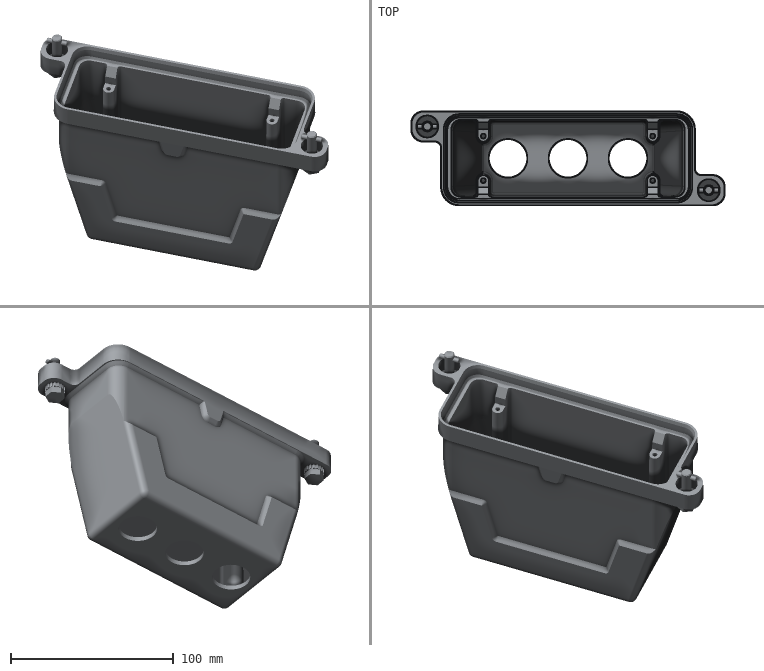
import cadquery as cq
import math

RIM_TOP = 111.5
RIM_THICKNESS = 12.5
RIM_BOTTOM = RIM_TOP - RIM_THICKNESS
PIN_TOP = 121.95

OVERALL_HALF_LENGTH = 96.5
HALF_WIDTH = 29.0
RIM_HALF_LENGTH = 78.2
RIM_CORNER_RADIUS = 11.4
EAR_WIDTH = 18.8
EAR_RADIUS = 7.6
EAR_ROOT_RADIUS = 3.8
RIM_DRAFT_ANGLE = 1.0

BODY_HALF_LENGTH = 75.0
BODY_HALF_WIDTH = 26.3
BODY_CORNER_RADIUS = 8.6
TAPER_START = 75.9
TAPER_ANGLE = 15.0
TAPER_SLOPE = math.tan(math.radians(TAPER_ANGLE))
BASE_HALF_LENGTH = BODY_HALF_LENGTH - TAPER_START * TAPER_SLOPE
NECK_HEIGHT = 2.2

BAND_RAISE = HALF_WIDTH - BODY_HALF_WIDTH
BAND_LEDGE = 50.0
BAND_WINDOW_TOP_HALF = 45.6
BAND_WINDOW_BOTTOM = 21.7
BAND_WINDOW_BOTTOM_HALF = BAND_WINDOW_TOP_HALF - (BAND_LEDGE - BAND_WINDOW_BOTTOM) * TAPER_SLOPE
BAND_WINDOW_RADIUS = 2.9
BAND_TOP = BAND_LEDGE + BAND_RAISE
BAND_EDGE_RADIUS = 4.0

LUG_TOP_HALF = 10.2
LUG_BOTTOM_HALF = 6.7
LUG_HEIGHT = 13.0
LUG_CORNER_RADIUS = 5.0

SEAT_PROFILE = [(1.7, 0.0), (2.5, 2.2), (2.9, 7.2), (4.0, 8.5)]
SEAT_LEDGE = RIM_TOP - SEAT_PROFILE[-1][1]

CAVITY_HALF_LENGTH = 71.9
CAVITY_HALF_WIDTH = 23.8
CAVITY_BEND_HALF_LENGTH = 70.1
CAVITY_FLOOR_HALF_LENGTH = 53.0
CAVITY_FLOOR_HALF_WIDTH = 22.4
CAVITY_BEND_Z = 69.8
CAVITY_CORNER_RADIUS = 6.3
CAVITY_BEND_RADIUS = 15.0
FLOOR_THICKNESS = 3.0
FLOOR_EDGE_RADIUS = 1.1

CABLE_HOLE_DIAMETER = 23.6
CABLE_HOLE_PITCH = 36.9
CABLE_HOLE_COUNT = 3

BOSS_X = 52.1
BOSS_Y = 13.7
BOSS_WIDTH = 6.6
BOSS_DRAFT_ANGLE = 0.65
BOSS_TOP = 92.0
BOSS_ROOT_RADIUS = 1.9
BOSS_HOLE_DIAMETER = 3.0
BOSS_HOLE_DEPTH = 10.0
GUSSET_FACE_Y = 17.8
GUSSET_TOP_Y = 22.2
GUSSET_SHOULDER = 97.8

BOLT_X = 86.6
BOLT_Y = HALF_WIDTH - EAR_WIDTH / 2
BOLT_WELL_DIAMETER = 13.6
BOLT_WELL_FLOOR = 2.5
BOLT_DIAMETER = 6.2
BOLT_TIP_CHAMFER = 0.6
CROSS_PIN_DIAMETER = 3.0
CROSS_PIN_LENGTH = 13.0
CROSS_PIN_CHAMFER = 0.4
CROSS_PIN_Z = 118.0
WASHER_DIAMETER = 12.6
WASHER_THICKNESS = 2.8
WASHER_TEETH = 18
WASHER_TOOTH_DEPTH = 0.6
HEX_ACROSS_FLATS = 10.3
HEX_HEIGHT = 4.2

BEVEL_ANGLE = 45.0
SELECT_MARGIN = 1.0
SEED_THICKNESS = 1.0


def rounded_box(half_length, half_width, radius, bottom, height, taper=0.0):
    """Upright block with rounded vertical corners."""
    outline = cq.Sketch().rect(2 * half_length, 2 * half_width).vertices().fillet(radius)
    return cq.Workplane("XY").workplane(offset=bottom).placeSketch(outline).extrude(height, taper=taper)


def make_rim():
    """Flange outline with one bolt ear at each of two opposite corners."""
    ear_inner_y = HALF_WIDTH - EAR_WIDTH
    rim = cq.Workplane("XY").workplane(offset=RIM_BOTTOM).polyline([
        (-OVERALL_HALF_LENGTH, HALF_WIDTH),
        (RIM_HALF_LENGTH, HALF_WIDTH),
        (RIM_HALF_LENGTH, -ear_inner_y),
        (OVERALL_HALF_LENGTH, -ear_inner_y),
        (OVERALL_HALF_LENGTH, -HALF_WIDTH),
        (-RIM_HALF_LENGTH, -HALF_WIDTH),
        (-RIM_HALF_LENGTH, ear_inner_y),
        (-OVERALL_HALF_LENGTH, ear_inner_y),
    ]).close().extrude(RIM_THICKNESS)
    for side in (-1, 1):
        corner = cq.selectors.BoxSelector(
            (side * RIM_HALF_LENGTH - SELECT_MARGIN, side * HALF_WIDTH - SELECT_MARGIN, 0),
            (side * RIM_HALF_LENGTH + SELECT_MARGIN, side * HALF_WIDTH + SELECT_MARGIN, PIN_TOP))
        root = cq.selectors.BoxSelector(
            (side * RIM_HALF_LENGTH - SELECT_MARGIN, -side * ear_inner_y - SELECT_MARGIN, 0),
            (side * RIM_HALF_LENGTH + SELECT_MARGIN, -side * ear_inner_y + SELECT_MARGIN, PIN_TOP))
        rim = rim.edges(corner).fillet(RIM_CORNER_RADIUS)
        rim = rim.edges(root).fillet(EAR_ROOT_RADIUS)
    rim = rim.edges("|Z and (<X or >X)").fillet(EAR_RADIUS)
    rounded_outline = rim.faces("<Z").wires().toPending().workplane(invert=True)
    return rounded_outline.extrude(RIM_THICKNESS, taper=RIM_DRAFT_ANGLE, combine=False)


def make_end_profile(base_half, shoulder_half, top_half, shoulder_z, bottom, top):
    """Lengthwise outline: steep upper sides and inward-sloping lower sides."""
    return cq.Workplane("XZ").polyline([
        (-base_half, bottom),
        (base_half, bottom),
        (shoulder_half, shoulder_z),
        (top_half, top),
        (-top_half, top),
        (-shoulder_half, shoulder_z),
    ]).close()


def make_upper_body():
    """Round-cornered box with its ends cut back along the 15 degree slopes."""
    box = rounded_box(
        BODY_HALF_LENGTH, BODY_HALF_WIDTH, BODY_CORNER_RADIUS,
        BAND_TOP, RIM_BOTTOM - BAND_TOP)
    envelope = make_end_profile(
        BASE_HALF_LENGTH, BODY_HALF_LENGTH, BODY_HALF_LENGTH, TAPER_START, 0, RIM_BOTTOM,
    ).extrude(HALF_WIDTH, both=True)
    neck = rounded_box(
        BODY_HALF_LENGTH, BODY_HALF_WIDTH, BODY_CORNER_RADIUS,
        RIM_BOTTOM - NECK_HEIGHT, NECK_HEIGHT, taper=-BEVEL_ANGLE)
    return box.intersect(envelope).union(neck)


def make_band():
    """Thicker lower body whose upper edge steps down to a window on each long side."""
    band_top_half = BASE_HALF_LENGTH + BAND_TOP * TAPER_SLOPE
    band = cq.Workplane("XZ").polyline([
        (-BASE_HALF_LENGTH, 0),
        (BASE_HALF_LENGTH, 0),
        (band_top_half, BAND_TOP),
        (-band_top_half, BAND_TOP),
    ]).close().extrude(HALF_WIDTH, both=True)
    end_edges = band.edges("not #Z")
    band = band.faces("<Z").edges().add(end_edges).fillet(BAND_EDGE_RADIUS)

    clear_half = 2 * BODY_HALF_LENGTH
    clear_top = 2 * BAND_TOP
    window = cq.Workplane("XZ", origin=(0, -HALF_WIDTH, 0)).polyline([
        (-clear_half, clear_top),
        (-clear_half, BAND_LEDGE),
        (-BAND_WINDOW_TOP_HALF, BAND_LEDGE),
        (-BAND_WINDOW_BOTTOM_HALF, BAND_WINDOW_BOTTOM),
        (BAND_WINDOW_BOTTOM_HALF, BAND_WINDOW_BOTTOM),
        (BAND_WINDOW_TOP_HALF, BAND_LEDGE),
        (clear_half, BAND_LEDGE),
        (clear_half, clear_top),
    ]).close().extrude(SEED_THICKNESS)
    window = window.edges("|Y and <Z").fillet(BAND_WINDOW_RADIUS)
    window = window.faces(">Y").wires().toPending().workplane().extrude(
        BAND_RAISE, taper=BEVEL_ANGLE, combine=False)
    return band.cut(window).cut(window.mirror("XZ"))


def make_lug():
    """Chamfer-sided lug standing out from the front wall just below the rim."""
    bottom = RIM_BOTTOM - LUG_HEIGHT
    flank = (LUG_TOP_HALF - LUG_BOTTOM_HALF) / LUG_HEIGHT
    top = RIM_BOTTOM + BAND_RAISE
    top_half = LUG_TOP_HALF + flank * (top - RIM_BOTTOM)
    outline = cq.Workplane("XZ", origin=(0, -BODY_HALF_WIDTH, 0)).polyline([
        (-top_half, top),
        (-LUG_BOTTOM_HALF, bottom),
        (LUG_BOTTOM_HALF, bottom),
        (top_half, top),
    ]).close().extrude(SEED_THICKNESS)
    outline = outline.edges("|Y and <Z").fillet(LUG_CORNER_RADIUS)
    return outline.faces(">Y").wires().toPending().workplane(invert=True).extrude(
        BAND_RAISE, taper=BEVEL_ANGLE, combine=False)


def make_seal_seat():
    """Stepped recess inside the rim, one drafted ring per profile segment."""
    seat = None
    for (inset, depth), (next_inset, next_depth) in zip(SEAT_PROFILE, SEAT_PROFILE[1:]):
        ring_height = next_depth - depth
        taper = math.degrees(math.atan2(next_inset - inset, ring_height))
        ring = rounded_box(
            RIM_HALF_LENGTH - inset, HALF_WIDTH - inset, RIM_CORNER_RADIUS - inset,
            RIM_TOP - depth, -ring_height, taper=taper)
        seat = ring if seat is None else seat.union(ring)
    return seat


def make_boss(x_side, y_side):
    """Screw boss on a long wall, with a gusset behind its screw pad."""
    tip_radius = BOSS_WIDTH / 2
    column = (
        cq.Workplane("XY").workplane(offset=SEAT_LEDGE)
        .moveTo(-tip_radius, HALF_WIDTH)
        .lineTo(-tip_radius, BOSS_Y)
        .threePointArc((0, BOSS_Y - tip_radius), (tip_radius, BOSS_Y))
        .lineTo(tip_radius, HALF_WIDTH)
        .close()
        .extrude(FLOOR_THICKNESS - SEAT_LEDGE, taper=-BOSS_DRAFT_ANGLE)
    )
    wall = cq.Workplane("YZ").polyline([
        (CAVITY_FLOOR_HALF_WIDTH, FLOOR_THICKNESS),
        (HALF_WIDTH, FLOOR_THICKNESS),
        (HALF_WIDTH, SEAT_LEDGE),
        (CAVITY_HALF_WIDTH, SEAT_LEDGE),
    ]).close().extrude(2 * BOSS_WIDTH, both=True)
    roots = cq.selectors.BoxSelector(
        (-BOSS_WIDTH, CAVITY_FLOOR_HALF_WIDTH, FLOOR_THICKNESS + SELECT_MARGIN),
        (BOSS_WIDTH, CAVITY_HALF_WIDTH, SEAT_LEDGE - SELECT_MARGIN))
    column = column.union(wall).edges(roots).fillet(BOSS_ROOT_RADIUS)
    notch_y = BOSS_Y - BOSS_WIDTH
    notch = cq.Workplane("YZ").polyline([
        (notch_y, BOSS_TOP),
        (GUSSET_FACE_Y, BOSS_TOP),
        (GUSSET_FACE_Y, GUSSET_SHOULDER),
        (GUSSET_TOP_Y, SEAT_LEDGE),
        (notch_y, SEAT_LEDGE),
    ]).close().extrude(BOSS_WIDTH, both=True)
    boss = column.cut(notch)
    if y_side < 0:
        boss = boss.mirror("XZ")
    return boss.translate((x_side * BOSS_X, 0, 0))


def make_cavity():
    """Drafted hollow of the hood, with the four screw bosses left standing."""
    cavity = make_end_profile(
        CAVITY_FLOOR_HALF_LENGTH, CAVITY_BEND_HALF_LENGTH, CAVITY_HALF_LENGTH,
        CAVITY_BEND_Z, FLOOR_THICKNESS, SEAT_LEDGE,
    ).extrude(CAVITY_HALF_WIDTH, both=True)
    drafted_sides = cq.Workplane("YZ").polyline([
        (-CAVITY_FLOOR_HALF_WIDTH, FLOOR_THICKNESS),
        (CAVITY_FLOOR_HALF_WIDTH, FLOOR_THICKNESS),
        (CAVITY_HALF_WIDTH, SEAT_LEDGE),
        (-CAVITY_HALF_WIDTH, SEAT_LEDGE),
    ]).close().extrude(CAVITY_HALF_LENGTH, both=True)
    cavity = cavity.intersect(drafted_sides)
    bends = cq.selectors.BoxSelector(
        (-CAVITY_HALF_LENGTH, -SELECT_MARGIN, CAVITY_BEND_Z - SELECT_MARGIN),
        (CAVITY_HALF_LENGTH, SELECT_MARGIN, CAVITY_BEND_Z + SELECT_MARGIN))
    cavity = cavity.edges(bends).fillet(CAVITY_BEND_RADIUS)
    end_corners = cavity.faces("<X or >X").edges("not |Y")
    cavity = end_corners.fillet(CAVITY_CORNER_RADIUS)
    for x_side in (-1, 1):
        for y_side in (-1, 1):
            cavity = cavity.cut(make_boss(x_side, y_side))
    return cavity.faces("<Z").edges().fillet(FLOOR_EDGE_RADIUS)


def make_bolt():
    """Bayonet bolt on the Z axis: hex head, toothed washer, shank and cross pin."""
    washer_bottom = RIM_BOTTOM - WASHER_THICKNESS
    head_bottom = washer_bottom - HEX_HEIGHT
    shank = (
        cq.Workplane("XY").workplane(offset=head_bottom)
        .circle(BOLT_DIAMETER / 2).extrude(PIN_TOP - head_bottom)
        .faces(">Z").chamfer(BOLT_TIP_CHAMFER)
    )
    washer = (
        cq.Workplane("XY").workplane(offset=washer_bottom)
        .circle(WASHER_DIAMETER / 2).extrude(WASHER_THICKNESS)
    )
    tooth_gap = math.pi * WASHER_DIAMETER / WASHER_TEETH / 2
    notches = (
        cq.Workplane("XY").workplane(offset=washer_bottom)
        .polarArray(WASHER_DIAMETER / 2, 0, 360, WASHER_TEETH)
        .rect(2 * WASHER_TOOTH_DEPTH, tooth_gap).extrude(WASHER_THICKNESS)
    )
    hex_corner_diameter = HEX_ACROSS_FLATS / math.cos(math.pi / 6)
    head = (
        cq.Workplane("XY").workplane(offset=head_bottom)
        .transformed(rotate=(0, 0, 90))
        .polygon(6, hex_corner_diameter).extrude(HEX_HEIGHT)
    )
    cross_pin = (
        cq.Workplane("YZ", origin=(0, 0, CROSS_PIN_Z))
        .circle(CROSS_PIN_DIAMETER / 2).extrude(CROSS_PIN_LENGTH / 2, both=True)
        .faces("<X or >X").chamfer(CROSS_PIN_CHAMFER)
    )
    return shank.union(washer.cut(notches)).union(head).union(cross_pin)


def make_hood():
    """Hollow hood with its rim, lugs, cable holes and screw holes."""
    hood = make_upper_body().union(make_band()).union(make_rim())
    lug = make_lug()
    hood = hood.union(lug).union(lug.mirror("XZ"))
    hood = hood.cut(make_seal_seat()).cut(make_cavity())
    cable_holes = (
        cq.Workplane("XY").rarray(CABLE_HOLE_PITCH, 1, CABLE_HOLE_COUNT, 1)
        .circle(CABLE_HOLE_DIAMETER / 2).extrude(2 * FLOOR_THICKNESS)
    )
    screw_holes = (
        cq.Workplane("XY").workplane(offset=BOSS_TOP).rarray(2 * BOSS_X, 2 * BOSS_Y, 2, 2)
        .circle(BOSS_HOLE_DIAMETER / 2).extrude(-BOSS_HOLE_DEPTH)
    )
    return hood.cut(cable_holes).cut(screw_holes)


def add_bolts(hood):
    """Sink a bolt well into each ear and set a bolt in it."""
    well = (
        cq.Workplane("XY").workplane(offset=RIM_BOTTOM + BOLT_WELL_FLOOR)
        .circle(BOLT_WELL_DIAMETER / 2).extrude(RIM_THICKNESS)
    )
    bolt = make_bolt()
    for side in (-1, 1):
        position = (side * BOLT_X, -side * BOLT_Y, 0)
        hood = hood.cut(well.translate(position)).union(bolt.translate(position))
    return hood


result = add_bolts(make_hood())